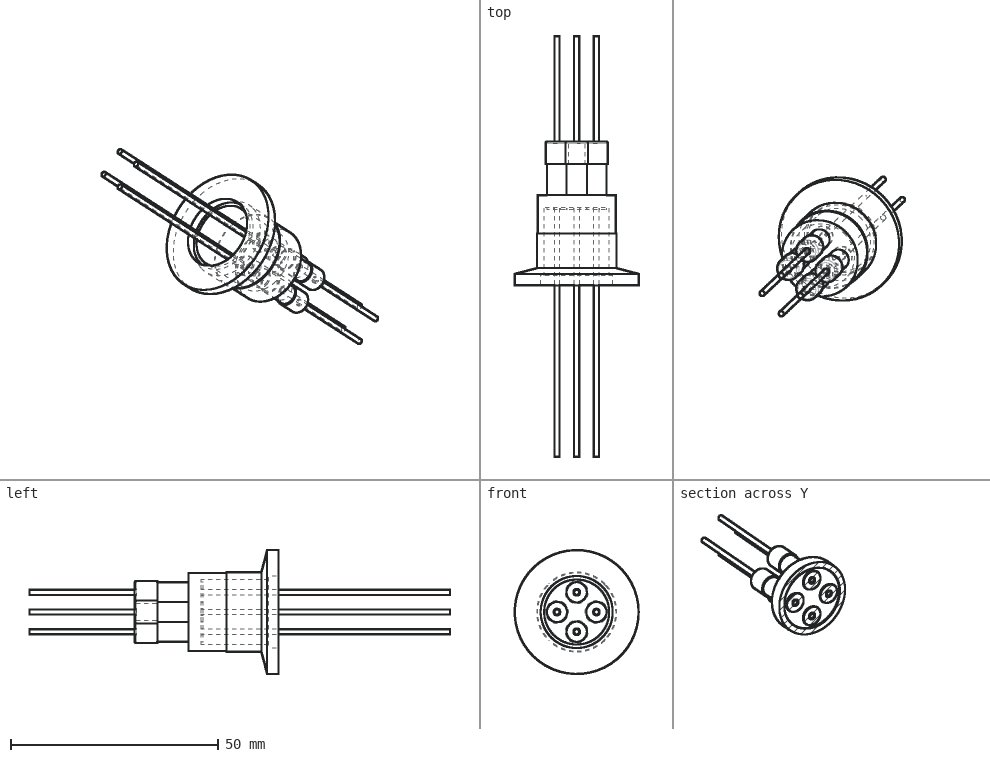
import cadquery as cq
FLANGE_DIAMETER = 29.97
FLANGE_RIM_END = 2.8
FLANGE_TAPER_END = 4.2
COLLAR_DIAMETER = 19.3
COLLAR_END = 12.6
SLEEVE_DIAMETER = 18.9
SLEEVE_END = 21.8

MOUTH_DIAMETER = 17.4
MOUTH_DEPTH = 2.45
BORE_DIAMETER = 15.7
BORE_END = 18.8

PIN_COUNT = 4
PIN_CIRCLE_RADIUS = 4.76
POST_DIAMETER = 4.9
POST_START = 18.3
CAP_DIAMETER = 5.5
CAP_START = 29.3
CAP_END = 34.8
CAP_EDGE_RADIUS = 0.5

PIN_DIAMETER = 1.3
PIN_RECESS_DIAMETER = 1.6
PIN_RECESS_DEPTH = 0.5
PIN_LENGTH = 101.6
PIN_START = -41.4


def rod(diameter, start, end):
    """Solid cylinder along +Y between two stations."""
    plane = cq.Workplane("XZ", origin=(0, start, 0))
    return plane.circle(diameter / 2).extrude(start - end)


def make_housing():
    """Revolved flange, collar and sleeve with a stepped blind bore."""
    profile = [
        (MOUTH_DIAMETER / 2, 0),
        (FLANGE_DIAMETER / 2, 0),
        (FLANGE_DIAMETER / 2, FLANGE_RIM_END),
        (COLLAR_DIAMETER / 2, FLANGE_TAPER_END),
        (COLLAR_DIAMETER / 2, COLLAR_END),
        (SLEEVE_DIAMETER / 2, COLLAR_END),
        (SLEEVE_DIAMETER / 2, SLEEVE_END),
        (0, SLEEVE_END),
        (0, BORE_END),
        (BORE_DIAMETER / 2, BORE_END),
        (BORE_DIAMETER / 2, MOUTH_DEPTH),
        (MOUTH_DIAMETER / 2, MOUTH_DEPTH),
    ]
    return cq.Workplane("XY").polyline(profile).close().revolve(360, (0, 0, 0), (0, 1, 0))


def make_feedthrough():
    """Pin in a post with a rounded end cap, recessed around the pin at both ends, on the Y axis."""
    post = rod(POST_DIAMETER, POST_START, CAP_START)
    cap = rod(CAP_DIAMETER, CAP_START, CAP_END).faces(">Y").edges().fillet(CAP_EDGE_RADIUS)
    pin = rod(PIN_DIAMETER, PIN_START, PIN_START + PIN_LENGTH)
    front_recess = rod(PIN_RECESS_DIAMETER, POST_START, POST_START + PIN_RECESS_DEPTH)
    rear_recess = rod(PIN_RECESS_DIAMETER, CAP_END - PIN_RECESS_DEPTH, CAP_END)
    return post.union(cap).cut(front_recess).cut(rear_recess).union(pin)


result = make_housing()
feedthrough = make_feedthrough().translate((PIN_CIRCLE_RADIUS, 0, 0))
for index in range(PIN_COUNT):
    angle = index * 360 / PIN_COUNT
    result = result.union(feedthrough.rotate((0, 0, 0), (0, 1, 0), angle))